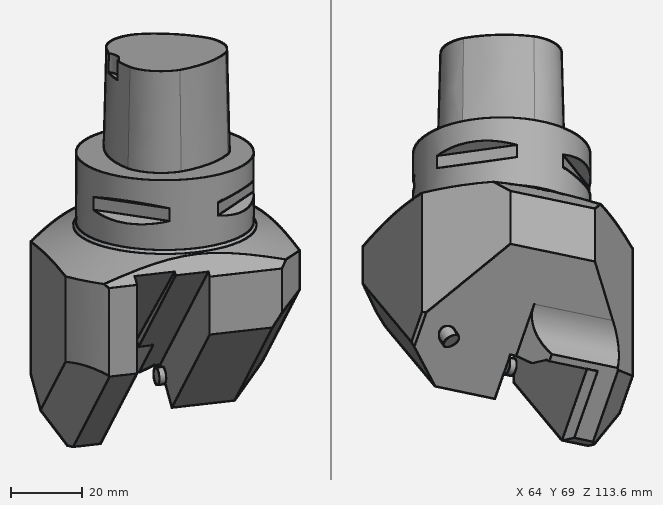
import cadquery as cq
import math

FAR = 170.4
ROOT2 = math.sqrt(2)

shank_height = 29.9
shank_lobe_radius = 18.6
shank_flat_radius = 16.4
shank_joint_radius = 17.8
shank_joint_angle = 25.2
shank_side_slope = 1 / 40
shank_taper = math.degrees(math.atan(shank_side_slope))
keyway_diameter = 10.5
keyway_depth = 5.6
keyway_center_y = -19.2

collar_diameter = 50.0
collar_height = 20.7
slot_flat_distance = 22.0
slot_middle_z = -10.2
slot_floor_height = 3.7
slot_mouth_height = 6.7

head_width = 64.0
head_length = 69.0
overall_height = 113.6
head_half = head_width / 2
head_back_y = 31.8
head_front_y = head_back_y - head_length
head_bottom_z = shank_height - overall_height
flare_radius = 25.8
flare_z = -21.6
shoulder_angle = 15.0
left_flat_half = 13.3
left_edge_sum = head_half + left_flat_half
right_back_corner = 8.3
head_round_radius = 42.6
top_chamfer_sum = 4.9

blade_depth = 85.3
blade_bevel = 9.2
back_left_depth = 75.4
back_right_depth = 76.2
back_step_y = 0.1
back_corner_cut = 11.1
back_edge_bevel = 0.9

slot_front_y = -19.8
slot_back_y = 1.9
raised_floor_depth = 56.8
lowered_floor_depth_left = 52.9
lowered_floor_depth_right = 55.1
lowered_floor_back_y = -7.8
nose_floor_back_y = -3.5
nose_left_depth = 56.8
slot_edge_chamfer = 2.3
pin_diameter = 5.0
slot_pin_length = 2.0
slot_pin_z = -68.5
face_pin_direction = (-0.4, -0.4, -1)
face_pin_end = (-11.5, 21.6, -66.8)
face_pin_length = 6.8

gullet_start_z = -54.8
gullet_start = (-back_left_depth - gullet_start_z, gullet_start_z)
gullet_middle = (-16.9, -62.2)
gullet_end = (-17.7, -67.6)


def at_depths(left, right):
    """XZ point lying on the 45 degree faces with these left and right depths."""
    return ((right - left) / 2, -(left + right) / 2)


def xz_prism(points, y_min, y_max):
    """Prism along Y with the given XZ outline."""
    plane = cq.Workplane("XZ", origin=(0, y_max, 0))
    return plane.polyline(points).close().extrude(y_max - y_min)


def depth_prism(left_min, left_max, right_min, right_max, y_min, y_max):
    """Box turned 45 degrees about Y, bounded by pairs of left and right depths."""
    corners = [(left_min, right_min), (left_max, right_min), (left_max, right_max), (left_min, right_max)]
    return xz_prism([at_depths(left, right) for left, right in corners], y_min, y_max)


def left_face_prism(outline, right_min, right_max):
    """Prism running parallel to the left lower face, from (left depth, y) points."""
    start = at_depths(0, right_min)
    plane = cq.Plane(origin=(start[0], 0, start[1]), xDir=(-1, 0, -1), normal=(1, 0, -1))
    points = [(left / ROOT2, y) for left, y in outline]
    return cq.Workplane(plane).polyline(points).close().extrude((right_max - right_min) / ROOT2)


def right_face_prism(outline, left_min, left_max):
    """Prism running parallel to the right lower face, from (right depth, y) points."""
    start = at_depths(left_max, 0)
    plane = cq.Plane(origin=(start[0], 0, start[1]), xDir=(1, 0, -1), normal=(1, 0, 1))
    points = [(right / ROOT2, y) for right, y in outline]
    return cq.Workplane(plane).polyline(points).close().extrude((left_max - left_min) / ROOT2)


def polar(radius, angle):
    """XY point at a radius and an angle in degrees."""
    return (radius * math.cos(math.radians(angle)), radius * math.sin(math.radians(angle)))


def make_shank():
    outline = cq.Workplane("XY").moveTo(*polar(shank_joint_radius, 90 - shank_joint_angle))
    for lobe in (90, 210, 330):
        outline = outline.threePointArc(
            polar(shank_lobe_radius, lobe), polar(shank_joint_radius, lobe + shank_joint_angle)
        )
        outline = outline.threePointArc(
            polar(shank_flat_radius, lobe + 60), polar(shank_joint_radius, lobe + 120 - shank_joint_angle)
        )
    shank = outline.close().extrude(shank_height, taper=shank_taper)
    keyway = cq.Workplane("XY", origin=(0, keyway_center_y, shank_height - keyway_depth))
    return shank.cut(keyway.circle(keyway_diameter / 2).extrude(keyway_depth))


def make_collar():
    collar = cq.Workplane("XY").circle(collar_diameter / 2).extrude(flare_z)
    mouth_distance = collar_diameter / 2
    slope = (slot_mouth_height - slot_floor_height) / 2 / (mouth_distance - slot_flat_distance)
    outer = collar_diameter
    outer_half = slot_floor_height / 2 + slope * (outer - slot_flat_distance)
    profile = [
        (slot_flat_distance, slot_middle_z - slot_floor_height / 2),
        (outer, slot_middle_z - outer_half),
        (outer, slot_middle_z + outer_half),
        (slot_flat_distance, slot_middle_z + slot_floor_height / 2),
    ]
    slot = xz_prism(profile, -collar_diameter / 2, collar_diameter / 2)
    for angle in (45, 135, 225, 315):
        collar = collar.cut(slot.rotate((0, 0, 0), (0, 0, 1), angle))
    return collar


def make_head():
    plan = [
        (-head_half, left_flat_half),
        (-head_half, -left_flat_half),
        (-left_edge_sum - head_front_y, head_front_y),
        (head_half, head_front_y),
        (head_half, head_back_y - right_back_corner),
        (head_half - right_back_corner, head_back_y),
        (head_back_y - left_edge_sum, head_back_y),
    ]
    head = cq.Workplane("XY", origin=(0, 0, head_bottom_z)).polyline(plan).close().extrude(-head_bottom_z)

    shoulder_drop = (FAR - flare_radius) * math.tan(math.radians(shoulder_angle))
    shoulder = [
        (0, -collar_height),
        (collar_diameter / 2, -collar_height),
        (flare_radius, flare_z),
        (FAR, flare_z - shoulder_drop),
        (FAR, -FAR),
        (0, -FAR),
    ]
    head = head.intersect(cq.Workplane("XZ").polyline(shoulder).close().revolve(360, (0, 0), (0, 1)))
    corner = cq.Workplane("XY", origin=(0, 0, -FAR)).rect(FAR, FAR).extrude(FAR)
    corner = corner.translate((FAR / 2, -FAR / 2, 0))
    corner = corner.cut(cq.Workplane("XY", origin=(0, 0, -FAR)).circle(head_round_radius).extrude(FAR))
    head = head.cut(corner)

    envelope_half = (blade_depth + top_chamfer_sum) / 2
    envelope_middle_z = (top_chamfer_sum - blade_depth) / 2
    envelope = [
        (0, top_chamfer_sum),
        (envelope_half, envelope_middle_z),
        (0, -blade_depth),
        (-envelope_half, envelope_middle_z),
    ]
    return head.intersect(xz_prism(envelope, head_front_y, head_back_y))


def bevel_blade(head):
    """Bevel the front edge of both V faces."""
    start_y = head_front_y + blade_bevel
    bevel = [
        (blade_depth, start_y),
        (blade_depth - blade_bevel * ROOT2, head_front_y),
        (FAR, head_front_y),
        (FAR, start_y),
    ]
    head = head.cut(left_face_prism(bevel, -FAR, FAR))
    return head.cut(right_face_prism(bevel, -FAR, FAR))


def step_back(head):
    """Set the lower faces of the rear half back, with a 45 degree step on the left."""
    step_length = (blade_depth - back_left_depth) / ROOT2
    left_step = [
        (back_left_depth, head_back_y),
        (back_left_depth, back_step_y),
        (blade_depth, back_step_y - step_length),
        (FAR, back_step_y - step_length),
        (FAR, head_back_y),
    ]
    head = head.cut(left_face_prism(left_step, -FAR, FAR))
    right_step = [
        (back_right_depth, slot_back_y),
        (back_right_depth, head_back_y - back_corner_cut),
        (back_right_depth - back_corner_cut * ROOT2, head_back_y),
        (FAR, head_back_y),
        (FAR, slot_back_y),
    ]
    head = head.cut(right_face_prism(right_step, -FAR, FAR))
    edge_bevel = [
        (back_left_depth, head_back_y - back_edge_bevel),
        (back_left_depth - back_edge_bevel * ROOT2, head_back_y),
        (back_left_depth, head_back_y),
    ]
    return head.cut(left_face_prism(edge_bevel, -FAR, FAR))


def cut_tip_slot(head):
    """Cut the slot across the tip, with a lower floor at its front."""
    head = head.cut(depth_prism(-FAR, FAR, raised_floor_depth, FAR, slot_front_y, slot_back_y))
    low_floor = [
        at_depths(blade_depth, lowered_floor_depth_left),
        at_depths(-top_chamfer_sum, lowered_floor_depth_right),
        at_depths(-top_chamfer_sum, FAR),
        at_depths(blade_depth, FAR),
    ]
    head = head.cut(xz_prism(low_floor, slot_front_y, lowered_floor_back_y))
    nose_slope_length = (raised_floor_depth - lowered_floor_depth_left) / ROOT2
    nose_outline = [
        (lowered_floor_depth_left, lowered_floor_back_y),
        (lowered_floor_depth_left, nose_floor_back_y - nose_slope_length),
        (raised_floor_depth, nose_floor_back_y),
        (FAR, nose_floor_back_y),
        (FAR, lowered_floor_back_y),
    ]
    nose = right_face_prism(nose_outline, nose_left_depth, FAR)
    head = head.cut(nose)
    chamfer = [
        (blade_depth, slot_front_y - slot_edge_chamfer),
        (blade_depth, slot_front_y),
        (blade_depth - slot_edge_chamfer * ROOT2, slot_front_y),
    ]
    return head.cut(left_face_prism(chamfer, lowered_floor_depth_left, FAR))


def cut_gullet(head):
    """Scoop the chip gullet out of the left face in front of the step."""
    outline = (
        cq.Workplane("XZ", origin=(0, back_step_y, 0))
        .moveTo(*gullet_start)
        .threePointArc(gullet_middle, gullet_end)
        .lineTo(-FAR, gullet_end[1])
        .lineTo(-FAR, FAR - back_left_depth)
        .close()
    )
    return head.cut(outline.extrude(FAR))


def add_pins(head):
    """Add the pin on the slot wall and the pin leaning out of the rear left face."""
    slot_pin_x = slot_pin_z + raised_floor_depth + pin_diameter
    slot_pin = cq.Workplane("XZ", origin=(slot_pin_x, slot_back_y, slot_pin_z))
    head = head.union(slot_pin.circle(pin_diameter / 2).extrude(slot_pin_length))
    into_body = tuple(-component for component in face_pin_direction)
    face_plane = cq.Plane(origin=face_pin_end, normal=into_body)
    face_pin = cq.Workplane(face_plane).circle(pin_diameter / 2).extrude(face_pin_length)
    return head.union(face_pin)


head = make_head()
for shape_feature in (bevel_blade, step_back, cut_tip_slot, cut_gullet, add_pins):
    head = shape_feature(head)
result = make_shank().union(make_collar()).union(head)